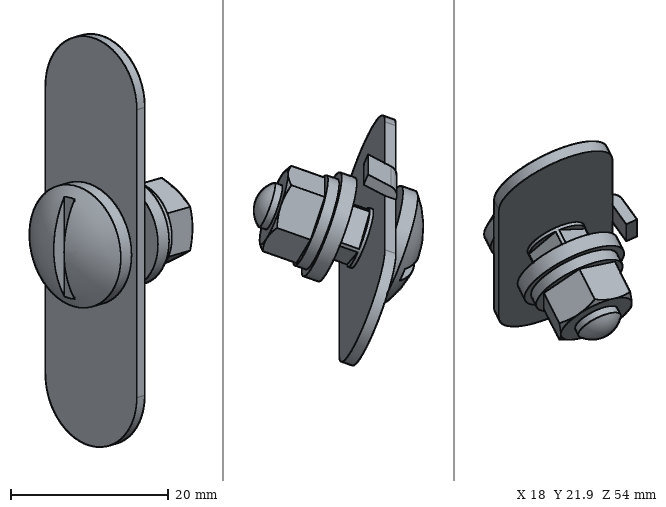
import cadquery as cq
import math


head_diameter = 16.0
head_rim = 2.0
head_dome = 3.0
slot_width = 1.8
slot_depth = 2.0
collar_diameter = 10.0
collar_length = 0.95
neck_diameter = 8.0
neck_clearance = 0.5
square_side = 6.0
square_length = 2.95
square_turn = 45
stud_diameter = 6.0
stud_exposed = 0.95
stud_dome = 1.5

plate_length = 54.0
plate_width = head_diameter
plate_thickness = 1.5
tab_width = 6.0
tab_reach = 2.0
tab_height = 3.1
tab_tilt = math.radians(8.5)

washer_diameter = 14.05
washer_thickness = 2.05
step_diameter = 12.2
step_thickness = 1.5
nut_flats = 10.0
nut_height = 5.0
nut_turn = 30
nut_chamfer_angle = math.radians(30)

plate_front = collar_length
plate_back = plate_front + plate_thickness
square_start = plate_back + neck_clearance
washer_start = square_start + square_length
step_start = washer_start + washer_thickness
nut_start = step_start + step_thickness
nut_end = nut_start + nut_height
stud_end = nut_end + stud_exposed


def cylinder(diameter, start, end):
    """Round bar along the Y axis between two stations."""
    return (
        cq.Workplane("XZ", origin=(0, start, 0))
        .circle(diameter / 2)
        .extrude(start - end)
    )


def dome(diameter, start, height):
    """Spherical cap on the Y axis; a negative height points it to -Y."""
    radius = diameter / 2
    sphere_radius = (radius**2 + height**2) / (2 * abs(height))
    to_center = math.copysign(sphere_radius, height) - height
    middle_angle = math.asin(radius / sphere_radius) / 2
    middle_x = sphere_radius * math.sin(middle_angle)
    middle_y = math.copysign(sphere_radius * math.cos(middle_angle), height) - to_center
    return (
        cq.Workplane("XY", origin=(0, start, 0))
        .lineTo(radius, 0)
        .threePointArc((middle_x, middle_y), (0, height))
        .close()
        .revolve(360, (0, 0, 0), (0, 1, 0))
    )


def square_neck():
    """Square with a corner at the top, its corners rounded by the neck diameter."""
    square = (
        cq.Workplane("XZ", origin=(0, square_start, 0))
        .rect(square_side, square_side)
        .extrude(-square_length)
        .rotate((0, 0, 0), (0, 1, 0), square_turn)
    )
    return square.intersect(cylinder(neck_diameter, square_start, washer_start))


def make_screw():
    head_tip = -head_rim - head_dome
    slot = cq.Workplane("XY").box(slot_width, 2 * slot_depth, head_diameter).translate((0, head_tip, 0))
    head = cylinder(head_diameter, -head_rim, 0).union(dome(head_diameter, -head_rim, -head_dome))
    return (
        head.cut(slot)
        .union(cylinder(collar_diameter, 0, plate_front))
        .union(cylinder(neck_diameter, plate_front, square_start))
        .union(square_neck())
        .union(cylinder(stud_diameter, washer_start, stud_end))
        .union(dome(stud_diameter, stud_end, stud_dome))
    )


def make_tab():
    """Tab bent back about the plate's rear left edge, its end cut parallel to the plate."""
    edge_x = -plate_width / 2
    tip_x = edge_x - tab_reach
    tip_y = plate_back + tab_height

    def bend_point(angle):
        return (
            edge_x - plate_thickness * math.cos(angle),
            plate_back - plate_thickness * math.sin(angle),
        )

    middle_angle = (tab_tilt + math.pi / 2) / 2
    return (
        cq.Workplane("XY", origin=(0, 0, -tab_width / 2))
        .moveTo(edge_x, plate_front)
        .threePointArc(bend_point(middle_angle), bend_point(tab_tilt))
        .lineTo(tip_x, tip_y)
        .lineTo(edge_x - tab_height * math.tan(tab_tilt), tip_y)
        .lineTo(edge_x, plate_back)
        .close()
        .extrude(tab_width)
    )


def make_plate():
    strip = (
        cq.Workplane("XZ", origin=(0, plate_front, 0))
        .slot2D(plate_length, plate_width, 90)
        .extrude(-plate_thickness)
    )
    return strip.union(make_tab()).cut(cylinder(neck_diameter, plate_front, plate_back))


def make_washer():
    return (
        cylinder(washer_diameter, washer_start, step_start)
        .union(cylinder(step_diameter, step_start, nut_start))
        .cut(cylinder(stud_diameter, washer_start, nut_start))
    )


def make_nut():
    """Hexagon nut with a corner at the top and a conical chamfer on its outer end."""
    corner_radius = nut_flats / math.sqrt(3)
    flat_radius = nut_flats / 2
    chamfer_drop = (corner_radius - flat_radius) * math.tan(nut_chamfer_angle)
    hexagon = (
        cq.Workplane("XZ", origin=(0, nut_start, 0))
        .polygon(6, 2 * corner_radius)
        .extrude(-nut_height)
        .rotate((0, 0, 0), (0, 1, 0), nut_turn)
    )
    chamfer_envelope = (
        cq.Workplane("XY")
        .moveTo(0, nut_start)
        .lineTo(corner_radius, nut_start)
        .lineTo(corner_radius, nut_end - chamfer_drop)
        .lineTo(flat_radius, nut_end)
        .lineTo(0, nut_end)
        .close()
        .revolve(360, (0, 0, 0), (0, 1, 0))
    )
    return hexagon.intersect(chamfer_envelope).cut(cylinder(stud_diameter, nut_start, nut_end))


screw = make_screw()
plate = make_plate()
washer = make_washer()
nut = make_nut()

result = cq.Compound.makeCompound([screw.val(), plate.val(), washer.val(), nut.val()])